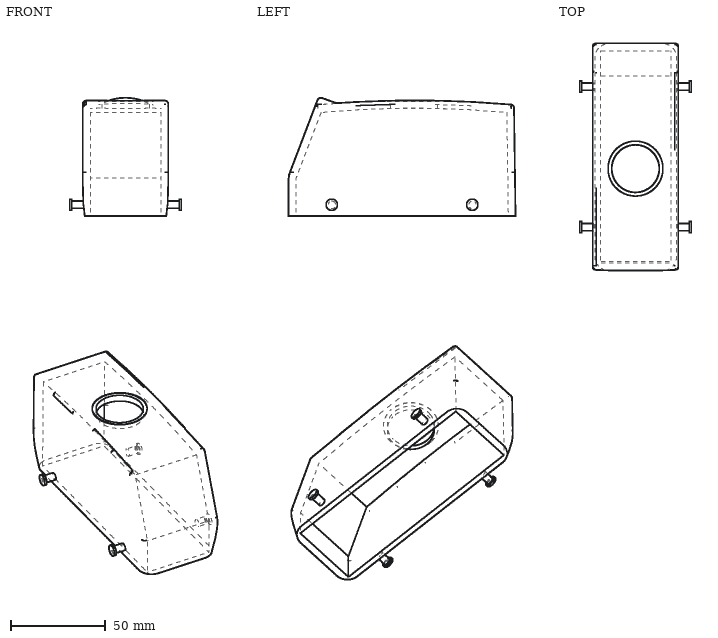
import cadquery as cq
import math

LENGTH = 120.0
HALF_LENGTH = LENGTH / 2
HALF_WIDTH = 22.65
CREASE_HALF_WIDTH = 22.3
BASE_HALF_WIDTH = 21.6
WALL = 4.0

FRONT_LEAN = math.tan(math.radians(0.8))
REAR_LEAN_ANGLE = math.radians(20.85)
REAR_LEAN = math.tan(REAR_LEAN_ANGLE)
BEND_Z = 21.0
BEND_R = 12.5
BEND_START_Z = BEND_Z - BEND_R * math.tan(REAR_LEAN_ANGLE / 2)
BEND_END_Z = BEND_START_Z + BEND_R * math.sin(REAR_LEAN_ANGLE)

CREASE_Z = 6.9
SKIRT_TOP_Z = BEND_END_Z
FLARE_STEPS = 6

BASE_CORNER_R = 7.6
CREASE_CORNER_R = 5.4
UPPER_CORNER_R = 1.6

MIDDLE_Y = -6.2
CROWN_Z = 61.1
ROOF_END_Z = 58.8
ROOF_EDGE_R = 2.0

GRIP_R = 25.0
GRIP_SLOPE = math.tan(math.radians(19.9))
GRIP_TOE_Y = 34.7
GRIP_TOE_Z = 59.7
GRIP_BOTTOM_Z = 55.5
GRIP_BLEND_R = 1.5

HOLE_D = 25.0
SPOT_FACE_D = 29.0
SPOT_FACE_DEPTH = 0.4

PIN_Y = 37.1
PIN_Z = 6.0
PIN_D = 4.0
PIN_HEAD_D = 6.0
PIN_HEAD_T = 1.2
PIN_TIP_X = 29.5
PIN_ROOT_X = HALF_WIDTH - WALL

TOLERANCE = 0.01


def front_y(z):
    """Y of the front wall at height z."""
    return -HALF_LENGTH + FRONT_LEAN * z


def rear_y(z):
    """Y of the leaning plane of the rear wall at height z."""
    return HALF_LENGTH - REAR_LEAN * (z - BEND_Z)


def skirt_rear_y(z):
    """Y of the rear wall on the skirt, upright and then following the bend."""
    rise = max(z - BEND_START_Z, 0)
    return HALF_LENGTH - BEND_R + math.sqrt(BEND_R**2 - rise**2)


def skirt_section(z, half_width, corner_r):
    """Rounded rectangle across the skirt at height z."""
    length = skirt_rear_y(z) - front_y(z)
    centre_y = (skirt_rear_y(z) + front_y(z)) / 2
    outline = cq.Sketch().rect(2 * half_width, length).vertices().fillet(corner_r)
    return outline.moved(cq.Location(cq.Vector(0, centre_y, z)))


def flare_section(z):
    """Skirt section whose width and corners ease from the crease to the upright walls."""
    fraction = ((SKIRT_TOP_Z - z) / (SKIRT_TOP_Z - CREASE_Z)) ** 2
    half_width = HALF_WIDTH + (CREASE_HALF_WIDTH - HALF_WIDTH) * fraction
    corner_r = UPPER_CORNER_R + (CREASE_CORNER_R - UPPER_CORNER_R) * fraction
    return skirt_section(z, half_width, corner_r)


def make_skirt():
    step = (SKIRT_TOP_Z - CREASE_Z) / FLARE_STEPS
    flare_sections = [flare_section(CREASE_Z + step * i) for i in range(FLARE_STEPS + 1)]
    flare = cq.Workplane().placeSketch(*flare_sections).loft()
    base_section = skirt_section(0, BASE_HALF_WIDTH, BASE_CORNER_R)
    foot = cq.Workplane().placeSketch(base_section, flare_sections[0]).loft(ruled=True)
    return foot.union(flare)


def make_grip():
    """Round-backed ridge falling towards the front, ending on the leaning rear wall."""
    end_z = GRIP_TOE_Z + GRIP_SLOPE * (HALF_LENGTH - GRIP_TOE_Y)
    ridge_end = cq.Plane((0, HALF_LENGTH, end_z), (1, 0, 0), (0, -1, -GRIP_SLOPE))
    ridge = cq.Workplane(ridge_end).center(0, -GRIP_R).circle(GRIP_R).extrude(HALF_LENGTH)
    front_limit_y = GRIP_TOE_Y - WALL
    wedge = (
        cq.Workplane("YZ")
        .moveTo(front_limit_y, GRIP_BOTTOM_Z)
        .lineTo(rear_y(GRIP_BOTTOM_Z), GRIP_BOTTOM_Z)
        .lineTo(rear_y(end_z), end_z)
        .lineTo(front_limit_y, end_z)
        .close()
        .extrude(HALF_WIDTH - ROOF_EDGE_R, both=True)
    )
    return ridge.intersect(wedge)


def is_grip_toe(edge):
    """True for the line where the back of the grip runs into the roof."""
    box = edge.BoundingBox()
    return abs(box.ymin - GRIP_TOE_Y) < WALL and box.xmax < HALF_WIDTH - TOLERANCE


def is_roof_rim(edge):
    """True for the edges around the roof, over the grip included."""
    middle = edge.positionAt(0.5)
    on_side = abs(abs(middle.x) - HALF_WIDTH) < TOLERANCE
    on_front = abs(middle.y - front_y(middle.z)) < TOLERANCE
    on_rear = abs(middle.y - rear_y(middle.z)) < TOLERANCE
    is_high = edge.BoundingBox().zmin > ROOF_END_Z - ROOF_EDGE_R
    return is_high and (on_side or on_front or on_rear)


def is_upright_corner(edge):
    """True for the corner edges between the side and end walls."""
    box = edge.BoundingBox()
    return box.zmin < SKIRT_TOP_Z + TOLERANCE and box.zmax > ROOF_END_Z - 2 * ROOF_EDGE_R


def round_edges(body, radius, wanted):
    edges = [edge for edge in body.edges().vals() if wanted(edge)]
    return cq.Workplane(body.val().fillet(radius, edges))


def make_upper():
    """Walls above the skirt with the roof and the finger grip."""
    walls = (
        cq.Workplane("YZ")
        .moveTo(front_y(SKIRT_TOP_Z), SKIRT_TOP_Z)
        .lineTo(front_y(ROOF_END_Z), ROOF_END_Z)
        .threePointArc((MIDDLE_Y, CROWN_Z), (rear_y(ROOF_END_Z), ROOF_END_Z))
        .lineTo(rear_y(SKIRT_TOP_Z), SKIRT_TOP_Z)
        .close()
        .extrude(HALF_WIDTH, both=True)
    )
    upper = walls.union(make_grip())
    upper = round_edges(upper, GRIP_BLEND_R, is_grip_toe)
    upper = round_edges(upper, ROOF_EDGE_R, is_roof_rim)
    return round_edges(upper, UPPER_CORNER_R, is_upright_corner)


def make_cavity():
    """Hollow open at the bottom, following the end walls and the roof."""
    roof_end_z = ROOF_END_Z - WALL
    slant_wall = WALL / math.cos(REAR_LEAN_ANGLE)
    upright_y = HALF_LENGTH - WALL
    bend_z = BEND_Z - (slant_wall - WALL) / REAR_LEAN
    return (
        cq.Workplane("YZ")
        .moveTo(front_y(0) + WALL, 0)
        .lineTo(front_y(roof_end_z) + WALL, roof_end_z)
        .threePointArc((MIDDLE_Y, CROWN_Z - WALL), (rear_y(roof_end_z) - slant_wall, roof_end_z))
        .lineTo(upright_y, bend_z)
        .lineTo(upright_y, 0)
        .close()
        .extrude(HALF_WIDTH - WALL, both=True)
    )


def make_cable_cutter():
    """Through hole in the roof with a shallow flat seat around it."""
    hole_bottom_z = CROWN_Z - 2 * WALL
    seat_z = CROWN_Z - SPOT_FACE_DEPTH
    hole = cq.Workplane(origin=(0, MIDDLE_Y, hole_bottom_z)).circle(HOLE_D / 2).extrude(2 * WALL)
    seat = cq.Workplane(origin=(0, MIDDLE_Y, seat_z)).circle(SPOT_FACE_D / 2).extrude(WALL)
    return hole.union(seat)


def make_pin(side, y):
    """Headed pin standing out of the side wall; side is -1 or 1 along X."""
    root = cq.Workplane("YZ", origin=(side * PIN_ROOT_X, y, PIN_Z))
    shank = root.circle(PIN_D / 2).extrude(side * (PIN_TIP_X - PIN_ROOT_X))
    tip = cq.Workplane("YZ", origin=(side * PIN_TIP_X, y, PIN_Z))
    head = tip.circle(PIN_HEAD_D / 2).extrude(-side * PIN_HEAD_T)
    return shank.union(head)


hood = make_skirt().union(make_upper())
hood = hood.cut(make_cavity()).cut(make_cable_cutter())
for side in (-1, 1):
    for y in (-PIN_Y, PIN_Y):
        hood = hood.union(make_pin(side, y))

result = hood